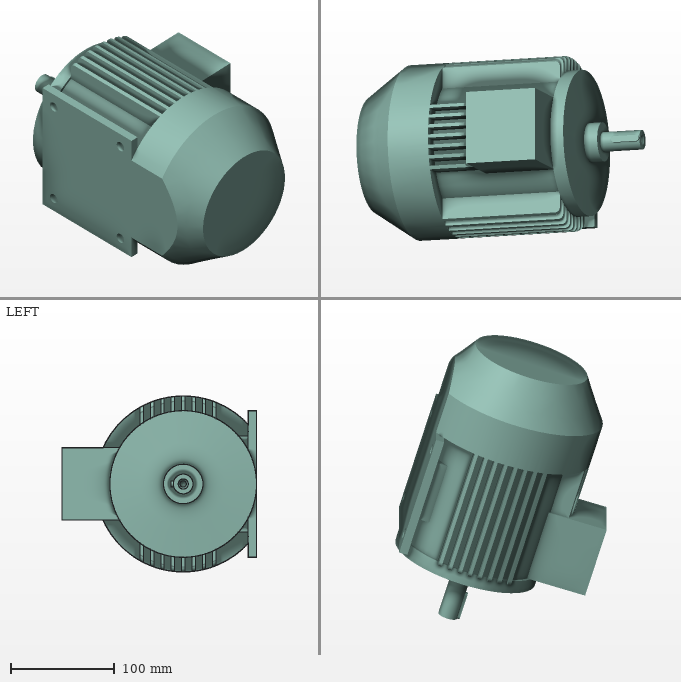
import cadquery as cq
import math


boss_start = 39.8
flange_cone_start = 53.1
flange_rim_start = 57.0
body_start = 70.0
body_end = 190.0
cowl_taper_start = 231.0
motor_length = 272.5
body_length = body_end - body_start
body_middle = (body_start + body_end) / 2

shaft_radius = 9.5
boss_radius = 19.0
flange_radius = 70.8
core_radius = 68.0
cowl_radius = 85.0
cowl_end_radius = 56.7

fin_thickness = 3.3
fin_pitch = 10.0
fin_nose_radius = 5.0
upright_fin_steps = range(-3, 5)
side_fin_steps = range(-3, 4)

foot_face_y = -flange_radius
foot_thickness = 8.2
foot_width = 2 * flange_radius
foot_hole_diameter = 10.0
foot_hole_spacing_x = 90.0
foot_hole_spacing_z = 111.7
pad_length = 60.0
pad_width = 92.6

box_side = 70.0
box_top_y = 117.2

key_length = 28.0
key_width = 6.0
key_top_y = 11.7
key_bottom_y = 6.0
centre_hole_radius = 3.0
centre_hole_mouth_radius = 5.0
centre_hole_depth = 15.0
countersink_angle = 60
drill_point_angle = 118


def turn(profile):
    """Close a half profile in the XY plane and revolve it about the shaft axis."""
    return profile.close().revolve(360, (0, 0, 0), (1, 0, 0))


def block(x_start, x_end, y_start, y_end, width_z):
    """Box between the given X and Y limits, centred on Z = 0."""
    size = (x_end - x_start, y_end - y_start, width_z)
    return cq.Workplane("XY").box(*size, centered=(False, False, True)).translate((x_start, y_start, 0))


def make_turned_body():
    """Shaft, boss, coned flange, body core and tapered fan cowl."""
    points = [
        (0, 0),
        (0, shaft_radius),
        (boss_start, shaft_radius),
        (boss_start, boss_radius),
        (flange_cone_start, boss_radius),
        (flange_rim_start, flange_radius),
        (body_start, flange_radius),
        (body_start, core_radius),
        (body_end, core_radius),
        (body_end, cowl_radius),
        (cowl_taper_start, cowl_radius),
        (motor_length, cowl_end_radius),
        (motor_length, 0),
    ]
    turned = turn(cq.Workplane("XY").polyline(points))
    below_foot = block(body_start, motor_length, -cowl_radius, foot_face_y, 2 * cowl_radius)
    return turned.cut(below_foot)


def make_fins():
    """Upright fins above and below the core, and side fins behind the terminal box."""
    nose_inset = fin_nose_radius * (1 - math.sqrt(0.5))
    envelope = turn(
        cq.Workplane("XY")
        .moveTo(body_start, 0)
        .lineTo(body_start, cowl_radius - fin_nose_radius)
        .threePointArc(
            (body_start + nose_inset, cowl_radius - nose_inset),
            (body_start + fin_nose_radius, cowl_radius),
        )
        .lineTo(body_end, cowl_radius)
        .lineTo(body_end, 0)
    )
    slabs = cq.Workplane("XY")
    for step in upright_fin_steps:
        slab = cq.Workplane("XY").box(body_length, fin_thickness, 2 * cowl_radius)
        slabs = slabs.add(slab.translate((body_middle, step * fin_pitch, 0)))
    for step in side_fin_steps:
        slab = cq.Workplane("XY").box(body_length, cowl_radius, fin_thickness)
        slabs = slabs.add(slab.translate((body_middle, cowl_radius / 2, step * fin_pitch)))
    return slabs.combine().intersect(envelope)


def make_foot():
    """Mounting plate with four holes, joined to the core by a pad."""
    plate_back_y = foot_face_y + foot_thickness
    plate = block(body_start, body_end, foot_face_y, plate_back_y, foot_width)
    holes = (
        cq.Workplane("XZ", origin=(body_middle, foot_face_y, 0))
        .rarray(foot_hole_spacing_x, foot_hole_spacing_z, 2, 2)
        .circle(foot_hole_diameter / 2)
        .extrude(-foot_thickness)
    )
    pad_start = body_middle - pad_length / 2
    pad = block(pad_start, pad_start + pad_length, plate_back_y, 0, pad_width)
    return plate.cut(holes).union(pad)


def make_terminal_box():
    return block(body_start, body_start + box_side, 0, box_top_y, box_side)


def make_key():
    """Round-ended key standing proud of the +Y side of the shaft."""
    return (
        cq.Workplane("XZ", origin=(key_length / 2, key_bottom_y, 0))
        .slot2D(key_length, key_width)
        .extrude(key_bottom_y - key_top_y)
    )


def make_centre_hole():
    """Countersunk blind hole in the shaft tip, with a conical bottom."""
    mouth_step = centre_hole_mouth_radius - centre_hole_radius
    countersink_depth = mouth_step / math.tan(math.radians(countersink_angle / 2))
    point_depth = centre_hole_radius / math.tan(math.radians(drill_point_angle / 2))
    points = [
        (0, 0),
        (0, centre_hole_mouth_radius),
        (countersink_depth, centre_hole_radius),
        (centre_hole_depth, centre_hole_radius),
        (centre_hole_depth + point_depth, 0),
    ]
    return turn(cq.Workplane("XY").polyline(points))


result = (
    make_turned_body()
    .union(make_fins())
    .union(make_foot())
    .union(make_terminal_box())
    .union(make_key())
    .cut(make_centre_hole())
)